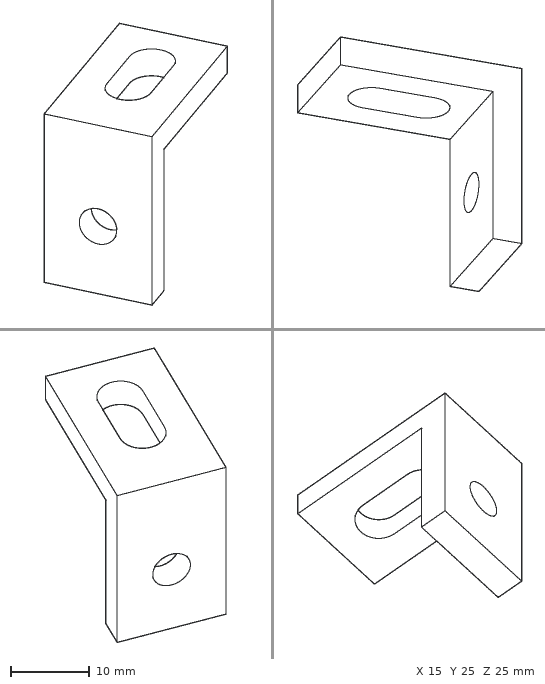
import cadquery as cq

width = 15.0
leg_length = 25.0
thickness = 4.0

hole_diameter = 5.2
hole_height = 10.0

slot_width = 6.1
slot_length = 13.6
slot_center_y = 14.0


def make_angle():
    """L-shaped body, with its outer corner at the front and top."""
    horizontal_leg = cq.Workplane("XY").box(
        width, leg_length, thickness, centered=(True, False, False)
    ).translate((0, 0, leg_length - thickness))
    upright_leg = cq.Workplane("XY").box(
        width, thickness, leg_length, centered=(True, False, False)
    )
    return horizontal_leg.union(upright_leg)


def make_hole():
    return (
        cq.Workplane("XZ")
        .center(0, hole_height)
        .circle(hole_diameter / 2)
        .extrude(-thickness)
    )


def make_slot():
    return (
        cq.Workplane("XY", origin=(0, slot_center_y, leg_length - thickness))
        .slot2D(slot_length, slot_width, 90)
        .extrude(thickness)
    )


result = make_angle().cut(make_hole()).cut(make_slot())